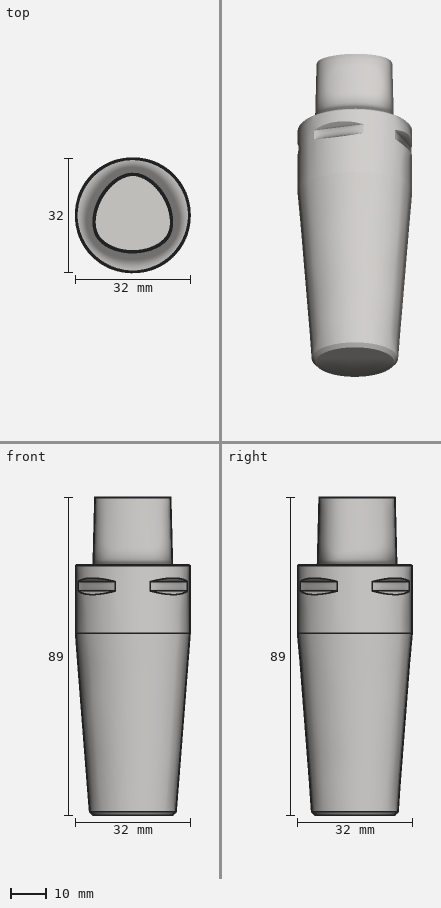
import cadquery as cq
import math

total_height = 89.0
shank_length = 18.9
collar_length = 19.2
shoulder_height = total_height - shank_length
collar_bottom = shoulder_height - collar_length

body_diameter = 32.0
taper_end_diameter = 24.2
bottom_chamfer = 1.1

collar_chamfer = 0.4
slot_count = 4
first_slot_angle = 45.0
slot_center_height = 64.1
slot_floor_distance = 14.2
slot_floor_height = 2.6
slot_wall_angle = 30.0
slot_cut_overrun = 1.8

shank_base_width = 22.2
shank_taper = 1 / 20
shank_top_width = shank_base_width - shank_taper * shank_length
lobe_offset = 0.6
profile_point_count = 48


def lobed_point(width, angle):
    """Point of a constant-width outline with one lobe towards +Y and a flatter side towards -Y."""
    distance = width / 2 - lobe_offset * math.sin(3 * angle)
    slope = -3 * lobe_offset * math.cos(3 * angle)
    x = distance * math.cos(angle) - slope * math.sin(angle)
    y = distance * math.sin(angle) + slope * math.cos(angle)
    return x, y


def lobed_wire(width, height):
    start_angle = -math.pi / 2
    angle_step = 2 * math.pi / profile_point_count
    points = [
        cq.Vector(*lobed_point(width, start_angle + i * angle_step), height)
        for i in range(profile_point_count)
    ]
    return cq.Wire.assembleEdges([cq.Edge.makeSpline(points, periodic=True)])


def make_shank():
    base = lobed_wire(shank_base_width, shoulder_height)
    top = lobed_wire(shank_top_width, total_height)
    return cq.Workplane(cq.Solid.makeLoft([base, top], True))


def make_slot_cutter(angle):
    """Flat-floored groove with flaring walls, running across the collar."""
    outer_distance = body_diameter / 2 + slot_cut_overrun
    flare = (outer_distance - slot_floor_distance) * math.tan(math.radians(slot_wall_angle))
    floor_half = slot_floor_height / 2
    mouth_half = floor_half + flare
    return (
        cq.Workplane("XZ")
        .moveTo(slot_floor_distance, slot_center_height - floor_half)
        .lineTo(outer_distance, slot_center_height - mouth_half)
        .lineTo(outer_distance, slot_center_height + mouth_half)
        .lineTo(slot_floor_distance, slot_center_height + floor_half)
        .close()
        .extrude(body_diameter / 2, both=True)
        .rotate((0, 0, 0), (0, 0, 1), angle)
    )


def make_adapter():
    """Shank and slotted collar in one piece."""
    adapter = (
        cq.Workplane("XY", origin=(0, 0, collar_bottom))
        .circle(body_diameter / 2)
        .extrude(collar_length)
        .faces(">Z")
        .chamfer(collar_chamfer)
    )
    for i in range(slot_count):
        adapter = adapter.cut(make_slot_cutter(first_slot_angle + i * 360 / slot_count))
    return adapter.union(make_shank())


def make_tapered_body():
    """Cone narrowing downwards from the collar to a chamfered end."""
    end_radius = taper_end_diameter / 2
    return (
        cq.Workplane("XZ")
        .moveTo(0, 0)
        .lineTo(end_radius - bottom_chamfer, 0)
        .lineTo(end_radius, bottom_chamfer)
        .lineTo(body_diameter / 2, collar_bottom)
        .lineTo(0, collar_bottom)
        .close()
        .revolve(360, (0, 0, 0), (0, 1, 0))
    )


adapter = make_adapter()
tapered_body = make_tapered_body()

result = cq.Compound.makeCompound([adapter.solids().val(), tapered_body.val()])